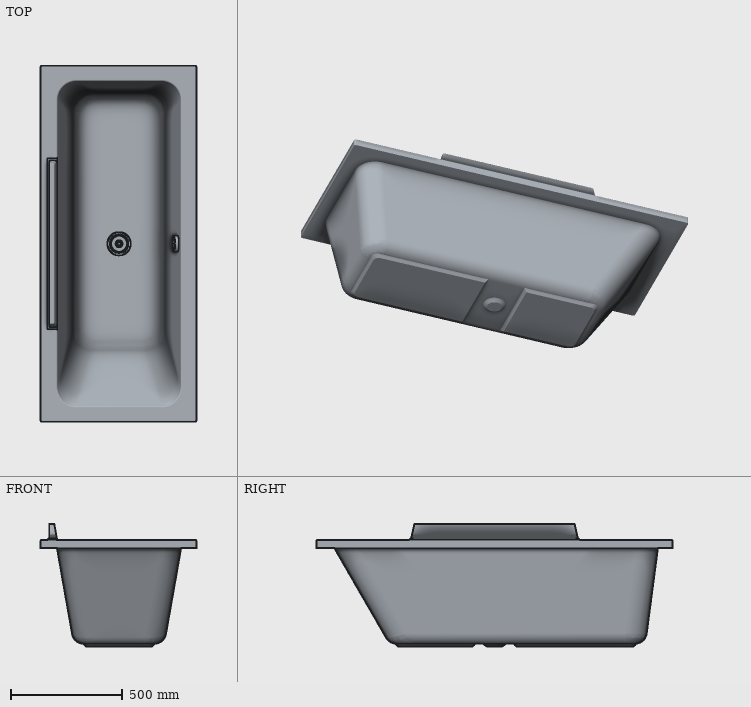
import cadquery as cq
import math

RIM_WIDTH = 701.0
RIM_LENGTH = 1600
RIM_TOP = 480.0
RIM_THICKNESS = 37.0
RIM_UNDERSIDE = RIM_TOP - RIM_THICKNESS
RIM_CORNER_RADIUS = 8.0
RIM_EDGE_RADIUS = 6.0

BASIN_LEFT = -275.0
BASIN_RIGHT = 280.0
BASIN_HEAD = 731.0
BASIN_FOOT = -731.0
BASIN_MIDDLE = (BASIN_LEFT + BASIN_RIGHT) / 2

SIDE_SLOPE = math.tan(math.radians(10))
HEAD_SLOPE = math.tan(math.radians(7.5))
FOOT_SLOPE = math.tan(math.radians(30))

SHELL_THICKNESS = 8.0
WALL_CORNER_RADIUS = 88.0
FLOOR_RADIUS = 48.0
LIP_RADIUS = 6.0

PAD_HEIGHT = 13.0
PAD_DRAFT = 13.0
PAD_WIDTH = 320.0
PAD_HEAD = 637.0
PAD_FOOT = -445.0
PAD_CORNER_RADIUS = 40.0
CHANNEL_WIDTH = 173.0
FLOOR = PAD_HEIGHT + SHELL_THICKNESS

SUMP_TOP_DIAMETER = 105.0
SUMP_BOTTOM_DIAMETER = 83.0
SUMP_DEPTH = 8.0
SUMP_BOTTOM = FLOOR - SUMP_DEPTH
BOSS_TOP_DIAMETER = 102.0
BOSS_BOTTOM_DIAMETER = 67.0
PLUG_DIAMETER = 72.0
BUTTON_DIAMETER = 32.0
BUTTON_RIM_DIAMETER = 24.0
BUTTON_HOLE_DIAMETER = 14.5
DRAIN_RING_HEIGHT = 3.0
PLUG_HEIGHT = 5.0
BUTTON_HEIGHT = 10.0
BUTTON_CHAMFER = (BUTTON_DIAMETER - BUTTON_RIM_DIAMETER) / 2

HANDLE_TOP = 552.0
HANDLE_OUTER_X = -312.0
HANDLE_TOP_LENGTH = 720.0
HANDLE_BASE_LENGTH = 752.0
HANDLE_END_SLOPE = (HANDLE_BASE_LENGTH - HANDLE_TOP_LENGTH) / 2 / (HANDLE_TOP - RIM_TOP)
HANDLE_CORNER_RADIUS = 8.0
HANDLE_TOP_RADIUS = 5.0
HANDLE_FLARE = 8.0

OVERFLOW_Z = 397.0
OVERFLOW_DIAMETER = 72.0
OVERFLOW_THICKNESS = 20.0
OVERFLOW_EDGE_RADIUS = 3.0
DISH_DIAMETER = 64.0
SCOOP_DEPTH = 3.0


def rectangle(x0, x1, y0, y1, z):
    """Corners of a rectangle at height z, anticlockwise from the left front."""
    return [cq.Vector(x, y, z) for x, y in ((x0, y0), (x1, y0), (x1, y1), (x0, y1))]


def loft(bottom, top):
    """Block with flat faces between two rectangles."""
    outlines = [bottom, top]
    for i in range(len(bottom)):
        outlines.append([bottom[i - 1], bottom[i], top[i], top[i - 1]])
    faces = [cq.Face.makeFromWires(cq.Wire.makePolygon(outline, close=True)) for outline in outlines]
    return cq.Workplane(obj=cq.Solid.makeSolid(cq.Shell.makeShell(faces)).fix())


def drain_disc(bottom_diameter, top_diameter, bottom, top):
    """Round, possibly tapered, disc on the drain axis."""
    disc = cq.Workplane().workplane(offset=bottom).center(BASIN_MIDDLE, 0).circle(bottom_diameter / 2)
    return disc.workplane(offset=top - bottom).circle(top_diameter / 2).loft()


def basin_block(offset, top):
    """Solid filling the basin, its walls and floor moved outward by offset."""

    def section(z):
        def outward(slope):
            return offset * math.hypot(1, slope) - (RIM_TOP - z) * slope

        return rectangle(
            BASIN_LEFT - outward(SIDE_SLOPE),
            BASIN_RIGHT + outward(SIDE_SLOPE),
            BASIN_FOOT - outward(FOOT_SLOPE),
            BASIN_HEAD + outward(HEAD_SLOPE),
            z,
        )

    block = loft(section(FLOOR - offset), section(top))
    block = block.edges("not #Z").fillet(WALL_CORNER_RADIUS + offset)
    return block.faces("<Z").edges().fillet(FLOOR_RADIUS + offset)


def make_rim():
    rim = cq.Workplane().box(RIM_WIDTH, RIM_LENGTH, RIM_THICKNESS, centered=(True, True, False))
    rim = rim.translate((0, 0, RIM_UNDERSIDE))
    rim = rim.edges("|Z").fillet(RIM_CORNER_RADIUS)
    return rim.faces(">Z").edges().fillet(RIM_EDGE_RADIUS)


def make_pads():
    """Drafted slab under the floor, split by a channel that widens downward."""
    left = BASIN_MIDDLE - PAD_WIDTH / 2
    right = BASIN_MIDDLE + PAD_WIDTH / 2
    pads = loft(
        rectangle(left + PAD_DRAFT, right - PAD_DRAFT, PAD_FOOT + PAD_DRAFT, PAD_HEAD - PAD_DRAFT, 0),
        rectangle(left, right, PAD_FOOT, PAD_HEAD, PAD_HEIGHT),
    )
    pads = pads.edges("not #Z").fillet(PAD_CORNER_RADIUS)
    half_channel = CHANNEL_WIDTH / 2
    channel = loft(
        rectangle(left, right, -half_channel - PAD_DRAFT, half_channel + PAD_DRAFT, 0),
        rectangle(left, right, -half_channel, half_channel, PAD_HEIGHT),
    )
    return pads.cut(channel)


def make_tub():
    tub = make_rim().union(basin_block(SHELL_THICKNESS, RIM_TOP - RIM_THICKNESS / 2))
    tub = tub.union(make_pads())
    tub = tub.union(drain_disc(BOSS_BOTTOM_DIAMETER, BOSS_TOP_DIAMETER, 0, PAD_HEIGHT))
    tub = tub.cut(basin_block(0, RIM_TOP))
    opening = cq.selectors.BoxSelector(
        (BASIN_LEFT - LIP_RADIUS, BASIN_FOOT - LIP_RADIUS, RIM_TOP - LIP_RADIUS),
        (BASIN_RIGHT + LIP_RADIUS, BASIN_HEAD + LIP_RADIUS, RIM_TOP + LIP_RADIUS),
        boundingbox=True,
    )
    tub = tub.edges(opening).fillet(LIP_RADIUS)
    return tub.cut(drain_disc(SUMP_BOTTOM_DIAMETER, SUMP_TOP_DIAMETER, SUMP_BOTTOM, FLOOR))


def make_drain_ring():
    top = SUMP_BOTTOM + DRAIN_RING_HEIGHT
    ring = drain_disc(SUMP_BOTTOM_DIAMETER, SUMP_BOTTOM_DIAMETER, SUMP_BOTTOM, top)
    return ring.cut(drain_disc(PLUG_DIAMETER, PLUG_DIAMETER, SUMP_BOTTOM, top))


def make_plug():
    top = SUMP_BOTTOM + PLUG_HEIGHT
    plug = drain_disc(PLUG_DIAMETER, PLUG_DIAMETER, SUMP_BOTTOM, top)
    return plug.cut(drain_disc(BUTTON_DIAMETER, BUTTON_DIAMETER, SUMP_BOTTOM, top))


def make_button():
    top = SUMP_BOTTOM + BUTTON_HEIGHT
    button = drain_disc(BUTTON_DIAMETER, BUTTON_DIAMETER, SUMP_BOTTOM, top)
    button = button.faces(">Z").chamfer(BUTTON_CHAMFER)
    return button.cut(
        drain_disc(BUTTON_HOLE_DIAMETER, BUTTON_HOLE_DIAMETER, SUMP_BOTTOM + PLUG_HEIGHT, top)
    )


def make_handle(tub):
    """Upright grip with a flared foot, seated on the rim and over the basin lip."""

    def section(grow, z):
        rise = z - RIM_TOP
        half_length = HANDLE_BASE_LENGTH / 2 - rise * HANDLE_END_SLOPE + grow
        inner_x = BASIN_LEFT - rise * SIDE_SLOPE
        return rectangle(HANDLE_OUTER_X - grow, inner_x, -half_length, half_length, z)

    def foot_layer(bottom, top):
        return loft(bottom, top).edges("not #Z").edges("<X").fillet(HANDLE_CORNER_RADIUS)

    seat = RIM_TOP - LIP_RADIUS
    grip = loft(section(0, seat), section(0, HANDLE_TOP))
    grip = grip.edges("not #Z").fillet(HANDLE_CORNER_RADIUS)
    grip = grip.faces(">Z").edges().fillet(HANDLE_TOP_RADIUS)
    lip_fill = foot_layer(section(HANDLE_FLARE, seat), section(HANDLE_FLARE, RIM_TOP))
    flare = foot_layer(section(HANDLE_FLARE, RIM_TOP), section(0, RIM_TOP + HANDLE_FLARE))
    return grip.union(flare).union(lip_fill).cut(tub)


def make_overflow_cap():
    """Round cap square to the wall, with two finger scoops that meet in a ridge."""
    cap = cq.Workplane().circle(OVERFLOW_DIAMETER / 2).extrude(OVERFLOW_THICKNESS)
    cap = cap.faces(">Z").edges().fillet(OVERFLOW_EDGE_RADIUS)
    half_chord = DISH_DIAMETER / 4
    scoop_radius = (half_chord**2 + SCOOP_DEPTH**2) / (2 * SCOOP_DEPTH)
    scoop_axis_z = OVERFLOW_THICKNESS - SCOOP_DEPTH + scoop_radius
    dish = cq.Workplane().circle(DISH_DIAMETER / 2).extrude(OVERFLOW_THICKNESS)
    for side in (-1, 1):
        scoop = cq.Workplane("XZ").center(side * half_chord, scoop_axis_z).circle(scoop_radius)
        cap = cap.cut(scoop.extrude(OVERFLOW_DIAMETER, both=True).intersect(dish))

    wall_x = BASIN_RIGHT - (RIM_TOP - OVERFLOW_Z) * SIDE_SLOPE
    wall = cq.Plane(origin=(wall_x, 0, OVERFLOW_Z), xDir=(0, 1, 0), normal=(-1, 0, SIDE_SLOPE))
    return cq.Workplane(obj=cap.val().moved(cq.Location(wall)))


tub = make_tub()
drain_ring = make_drain_ring()
plug = make_plug()
button = make_button()
handle = make_handle(tub)
overflow_cap = make_overflow_cap()

bodies = [tub, drain_ring, plug, button, handle, overflow_cap]
result = cq.Compound.makeCompound([body.solids().val() for body in bodies])